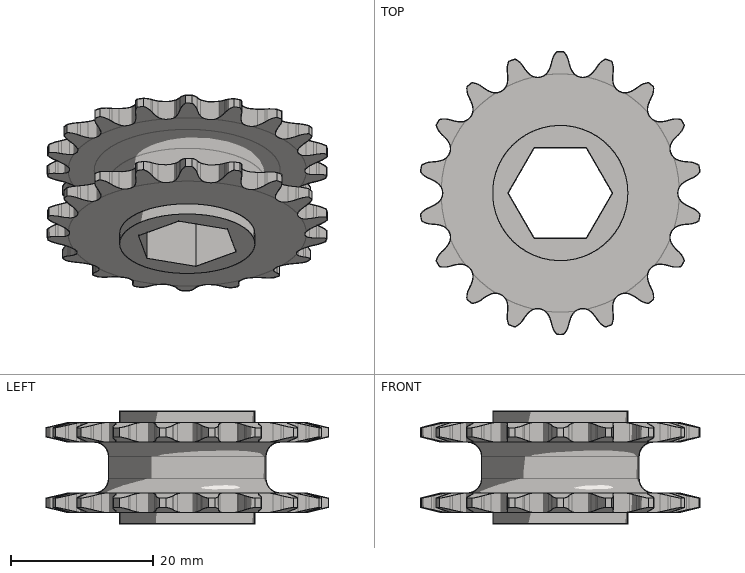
import cadquery as cq
import math

teeth = 18
tip_radius = 19.9
plate_spacing = 9.9
plate_thickness = 2.8
tip_thickness = 1.27
bevel_radius = 16.75

hub_length = 15.9
hub_radius = 9.5
core_radius = 11.1
core_fillet = 2.0
hex_across_flats = 12.7

pitch_radius = 18.28
seat_radius = 1.7
seat_half_angle = 51.7
working_radius = 4.35
working_sweep = 14.9
straight_length = 0.4
topping_radius = 2.7

half_pitch = 180 / teeth
root_radius = pitch_radius - seat_radius


def polar(radius, angle):
    """Point at a radius and an angle in degrees from +X."""
    a = math.radians(angle)
    return (radius * math.cos(a), radius * math.sin(a))


def offset(point, distance, angle):
    """Point moved by a distance in the direction of an angle in degrees."""
    step = polar(distance, angle)
    return (point[0] + step[0], point[1] + step[1])


def circle_crossing(centre, radius):
    """Point of the tip circle nearest +X where a circle of the given centre and radius crosses it."""
    distance = math.hypot(*centre)
    cosine = (distance**2 + tip_radius**2 - radius**2) / (2 * distance * tip_radius)
    centre_angle = math.degrees(math.atan2(centre[1], centre[0]))
    return polar(tip_radius, centre_angle - math.degrees(math.acos(cosine)))


def mirrored(point):
    return (point[0], -point[1])


def gap_cutter():
    """Space between two teeth, centred on +X, for one roller."""
    seat_centre = (pitch_radius, 0)
    seat_angle = 180 - seat_half_angle
    flank_angle = seat_angle - working_sweep
    seat_end = offset(seat_centre, seat_radius, seat_angle)

    working_centre = offset(seat_end, -working_radius, seat_angle)
    working_mid = offset(working_centre, working_radius, (seat_angle + flank_angle) / 2)
    working_end = offset(working_centre, working_radius, flank_angle)

    straight_end = offset(working_end, straight_length, flank_angle - 90)
    topping_centre = offset(straight_end, topping_radius, flank_angle)
    tip = circle_crossing(topping_centre, topping_radius)
    topping_start_angle = flank_angle - 180
    topping_end_angle = math.degrees(math.atan2(tip[1] - topping_centre[1], tip[0] - topping_centre[0]))
    topping_mid = offset(topping_centre, topping_radius, (topping_start_angle + topping_end_angle) / 2)

    clear_radius = tip_radius + seat_radius
    return (
        cq.Workplane("XY")
        .moveTo(clear_radius, -tip[1])
        .lineTo(*mirrored(tip))
        .threePointArc(mirrored(topping_mid), mirrored(straight_end))
        .lineTo(*mirrored(working_end))
        .threePointArc(mirrored(working_mid), mirrored(seat_end))
        .threePointArc((root_radius, 0), seat_end)
        .threePointArc(working_mid, working_end)
        .lineTo(*straight_end)
        .threePointArc(topping_mid, tip)
        .lineTo(clear_radius, tip[1])
        .close()
        .extrude(plate_thickness / 2, both=True)
    )


def toothed_plate():
    """Disc bevelled on both faces towards its rim, with the gaps cut so that a tooth points along +Y."""
    half = plate_thickness / 2
    half_tip = tip_thickness / 2
    plate = (
        cq.Workplane("XZ")
        .polyline([(0, -half), (bevel_radius, -half), (tip_radius, -half_tip),
                   (tip_radius, half_tip), (bevel_radius, half), (0, half)])
        .close()
        .revolve(360, (0, 0, 0), (0, 1, 0))
    )
    gap = gap_cutter()
    first_gap = 90 + half_pitch
    for i in range(teeth):
        plate = plate.cut(gap.rotate((0, 0, 0), (0, 0, 1), first_gap + 2 * half_pitch * i))
    return plate


def core():
    """Drum between the plates, flaring into each plate with a fillet."""
    half = (plate_spacing - plate_thickness) / 2
    flare_radius = core_radius + core_fillet
    mid = core_fillet * (1 - math.sqrt(0.5))
    return (
        cq.Workplane("XZ")
        .moveTo(0, -half)
        .lineTo(flare_radius, -half)
        .threePointArc((core_radius + mid, -half + mid), (core_radius, -half + core_fillet))
        .lineTo(core_radius, half - core_fillet)
        .threePointArc((core_radius + mid, half - mid), (flare_radius, half))
        .lineTo(0, half)
        .close()
        .revolve(360, (0, 0, 0), (0, 1, 0))
    )


def hex_bore():
    """Through bore with corners on the X axis."""
    corner_diameter = hex_across_flats / math.cos(math.radians(30))
    return cq.Workplane("XY").polygon(6, corner_diameter).extrude(hub_length, both=True)


hub = cq.Workplane("XY").circle(hub_radius).extrude(hub_length / 2, both=True)
plate = toothed_plate()
upper_plate = plate.translate((0, 0, plate_spacing / 2))
lower_plate = plate.translate((0, 0, -plate_spacing / 2))

result = hub.union(core()).union(upper_plate).union(lower_plate).cut(hex_bore())